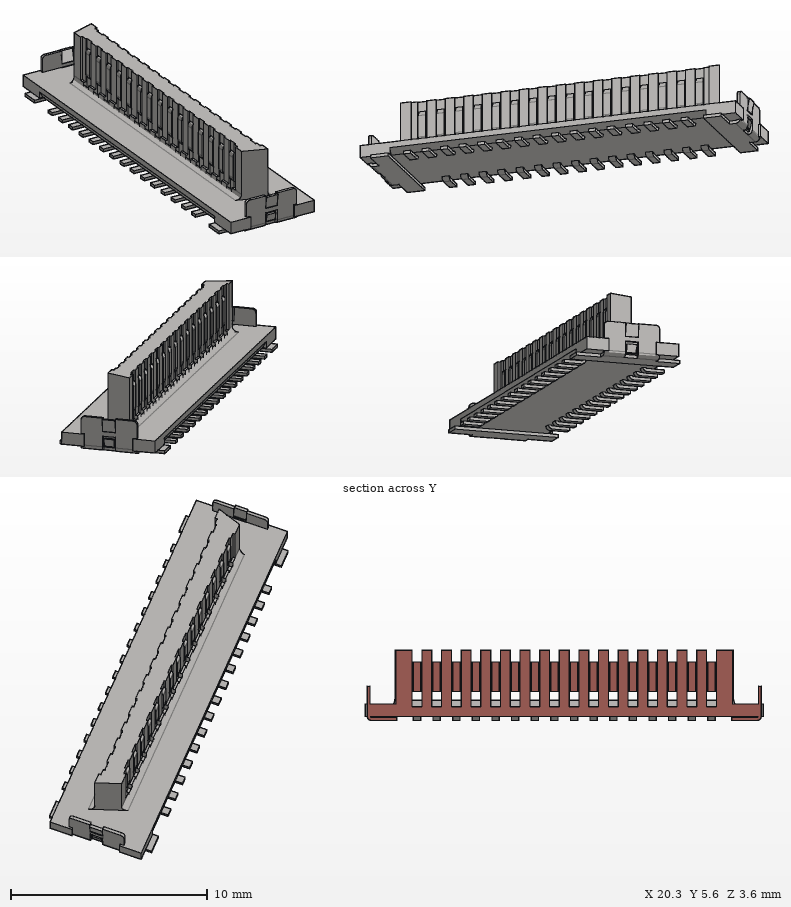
import cadquery as cq


BASE_LENGTH = 20.3
BASE_WIDTH = 5.0
BASE_BOTTOM = 0.2
BASE_TOP = 0.85
LEAD_RELIEF_LENGTH = 17.1
LEAD_RELIEF_TOP = 0.55
LEAD_RELIEF_DEPTH = 0.2
END_NOTCH_WIDTH = 2.6

TOTAL_HEIGHT = 3.6
TONGUE_WIDTH = 1.3
TONGUE_HALF_LENGTH = 8.4
END_TAPER = 0.35
ROOT_RADIUS = 0.3

ROW_SPAN = 15.0
FRONT_COUNT = 15
BACK_COUNT = 16
PITCH = ROW_SPAN / (BACK_COUNT - 1)
ROW_END_MARGIN = 0.57
ROW_RECESS_DEPTH = 0.12
SLOT_WIDTH = 0.49
SLOT_DEPTH = 0.2
SLOT_BOTTOM = 0.71
SLOT_OVERCUT = 0.02
CONTACT_WIDTH = 0.39
CONTACT_HEIGHT = 0.12
CONTACT_BOTTOM = 1.42
CONTACT_TOP = 3.07
CONTACT_ROUNDING = 0.25

SHEET = 0.16
OVERALL_WIDTH = 5.6
LEAD_WIDTH = 0.39
LEAD_LENGTH = 1.18
LEAD_TOP = 0.4
PLATE_OUTER_X = 10.05
PLATE_WIDTH = 3.0
PLATE_TOP = 1.77
PLATE_CORNER = 0.2
BEND_RADIUS = 0.25
FOOT_INNER_X = 8.53
PAD_OUTER_X = 9.48
WINDOW_WIDTH = 0.7
LOWER_WINDOW_TOP = 0.81
LANCE_BOTTOM = 1.05
LANCE_TOP = 1.73
LANCE_REACH = 0.15
PEG_WIDTH = 0.53
PEG_BOTTOM = 0.25
PEG_TOP = 0.67
PEG_REACH = 0.1

TONGUE_FACE = TONGUE_WIDTH / 2
ROOT_TOP = BASE_TOP + ROOT_RADIUS
PLATE_INNER_X = PLATE_OUTER_X - SHEET
BASE_END = BASE_LENGTH / 2


def box(x_range, y_range, z_range):
    """Axis-aligned block between the given limits."""
    (x0, x1), (y0, y1), (z0, z1) = x_range, y_range, z_range
    return cq.Workplane("XY").box(x1 - x0, y1 - y0, z1 - z0, centered=False).translate((x0, y0, z0))


def centred_on_x(length, y_range, z_range, x=0.0):
    """Block of the given length centred on a plane of constant X."""
    return box((x - length / 2, x + length / 2), y_range, z_range)


def outward(side, inner, outer):
    """Y limits of a span measured outward from the mid plane on one side."""
    return tuple(sorted((side * inner, side * outer)))


def row_positions(count):
    return [(i - (count - 1) / 2) * PITCH for i in range(count)]


def extrude_along_x(profile, length, x=0.0):
    """Extrude a closed YZ profile symmetrically about a plane of constant X."""
    return profile.extrude(length / 2, both=True).translate((x, 0, 0))


def extrude_along_y(profile, length):
    """Extrude a closed XZ profile symmetrically about Y = 0."""
    return profile.extrude(length / 2, both=True)


def bent_sheet(plane, upright, foot_end, top):
    """Closed L profile: an upright leg with its outer face at `upright`, bent into a foot at Z = 0."""
    inward = 1 if foot_end > upright else -1
    inner_face = upright + inward * SHEET
    bend_end = upright + inward * BEND_RADIUS
    return (
        cq.Workplane(plane)
        .moveTo(upright, top)
        .lineTo(upright, BEND_RADIUS)
        .tangentArcPoint((bend_end, 0), relative=False)
        .lineTo(foot_end, 0)
        .lineTo(foot_end, SHEET)
        .lineTo(bend_end, SHEET)
        .tangentArcPoint((inner_face, BEND_RADIUS), relative=False)
        .lineTo(inner_face, top)
        .close()
    )


def make_base():
    half_width = BASE_WIDTH / 2
    base = centred_on_x(BASE_LENGTH, (-half_width, half_width), (BASE_BOTTOM, BASE_TOP))
    for side in (-1, 1):
        relief = cq.Workplane("YZ").polyline([
            (side * half_width, LEAD_RELIEF_TOP),
            (side * half_width, BASE_BOTTOM),
            (side * (half_width - LEAD_RELIEF_DEPTH), BASE_BOTTOM),
        ]).close()
        base = base.cut(extrude_along_x(relief, LEAD_RELIEF_LENGTH))
        notch = centred_on_x(
            2 * (BASE_END - PLATE_INNER_X),
            (-END_NOTCH_WIDTH / 2, END_NOTCH_WIDTH / 2),
            (BASE_BOTTOM, BASE_TOP),
            side * BASE_END,
        )
        base = base.cut(notch)
    return base


def make_tongue():
    """Upright bar with concave roots on its long sides and tapered ends."""
    root_foot = TONGUE_FACE + ROOT_RADIUS
    front_half_length = TONGUE_HALF_LENGTH - END_TAPER * root_foot
    back_half_length = TONGUE_HALF_LENGTH + END_TAPER * root_foot
    section = (
        cq.Workplane("YZ")
        .moveTo(-root_foot, BASE_TOP)
        .radiusArc((-TONGUE_FACE, ROOT_TOP), -ROOT_RADIUS)
        .lineTo(-TONGUE_FACE, TOTAL_HEIGHT)
        .lineTo(TONGUE_FACE, TOTAL_HEIGHT)
        .lineTo(TONGUE_FACE, ROOT_TOP)
        .radiusArc((root_foot, BASE_TOP), -ROOT_RADIUS)
        .close()
    )
    outline = (
        cq.Workplane("XY")
        .polyline([
            (-front_half_length, -root_foot),
            (front_half_length, -root_foot),
            (back_half_length, root_foot),
            (-back_half_length, root_foot),
        ])
        .close()
        .extrude(TOTAL_HEIGHT)
    )
    return extrude_along_x(section, 2 * back_half_length).intersect(outline)


def make_contact(side, x):
    """Contact standing on a slot floor, rounded off at both ends."""
    floor = side * (TONGUE_FACE - SLOT_DEPTH)
    crest = floor + side * CONTACT_HEIGHT
    rounding_radius = (CONTACT_ROUNDING**2 + CONTACT_HEIGHT**2) / (2 * CONTACT_HEIGHT)
    profile = (
        cq.Workplane("YZ")
        .moveTo(crest, CONTACT_TOP - CONTACT_ROUNDING)
        .lineTo(crest, CONTACT_BOTTOM + CONTACT_ROUNDING)
        .tangentArcPoint((floor, CONTACT_BOTTOM), relative=False)
        .lineTo(floor, CONTACT_TOP)
        .radiusArc((crest, CONTACT_TOP - CONTACT_ROUNDING), side * rounding_radius)
        .close()
    )
    return extrude_along_x(profile, CONTACT_WIDTH, x)


def make_lead(side, x):
    """Flat solder lead, bent up into the base at its inner end."""
    tip = side * OVERALL_WIDTH / 2
    heel = tip - side * LEAD_LENGTH
    return extrude_along_x(bent_sheet("YZ", heel, tip, LEAD_TOP), LEAD_WIDTH, x)


def add_contact_row(body, side, count):
    positions = row_positions(count)
    recess = centred_on_x(
        2 * (positions[-1] + ROW_END_MARGIN),
        outward(side, TONGUE_FACE - ROW_RECESS_DEPTH, TONGUE_FACE),
        (ROOT_TOP, TOTAL_HEIGHT),
    )
    body = body.cut(recess)
    slot_span = outward(side, TONGUE_FACE - SLOT_DEPTH, TONGUE_FACE + SLOT_OVERCUT)
    for x in positions:
        body = body.cut(centred_on_x(SLOT_WIDTH, slot_span, (SLOT_BOTTOM, TOTAL_HEIGHT), x))
        body = body.union(make_contact(side, x)).union(make_lead(side, x))
    return body


def make_hold_down():
    """Left hold-down: upright plate bent into a foot, with solder pads, a lance and a peg."""
    section = bent_sheet("XZ", -PLATE_OUTER_X, -FOOT_INNER_X, PLATE_TOP)
    plate = extrude_along_y(section, PLATE_WIDTH)
    plate = plate.edges("|X and >Z").fillet(PLATE_CORNER)

    window_y = (-WINDOW_WIDTH / 2, WINDOW_WIDTH / 2)
    window_x = (-BASE_END, -PLATE_OUTER_X + BEND_RADIUS)
    plate = plate.cut(box(window_x, window_y, (0, LOWER_WINDOW_TOP)))
    plate = plate.cut(box(window_x, window_y, (LANCE_BOTTOM, PLATE_TOP)))

    lance = cq.Workplane("XZ").polyline([
        (-BASE_END + LANCE_REACH, LANCE_BOTTOM),
        (-BASE_END, LANCE_TOP),
        (-BASE_END + SHEET, LANCE_TOP),
        (-BASE_END + LANCE_REACH + SHEET, LANCE_BOTTOM),
    ]).close()
    peg = cq.Workplane("XZ").polyline([
        (-PLATE_OUTER_X + PEG_REACH, PEG_BOTTOM),
        (-PLATE_OUTER_X, PEG_TOP),
        (-PLATE_INNER_X, PEG_TOP),
        (-PLATE_INNER_X, PEG_BOTTOM),
    ]).close()
    pads = box(
        (-PAD_OUTER_X, -FOOT_INNER_X),
        (-OVERALL_WIDTH / 2, OVERALL_WIDTH / 2),
        (0, SHEET),
    )
    hold_down = plate.union(pads)
    hold_down = hold_down.union(extrude_along_y(lance, WINDOW_WIDTH))
    return hold_down.union(extrude_along_y(peg, PEG_WIDTH))


body = make_base().union(make_tongue())
body = add_contact_row(body, -1, FRONT_COUNT)
body = add_contact_row(body, 1, BACK_COUNT)
hold_down = make_hold_down()
result = body.union(hold_down).union(hold_down.mirror("YZ"))